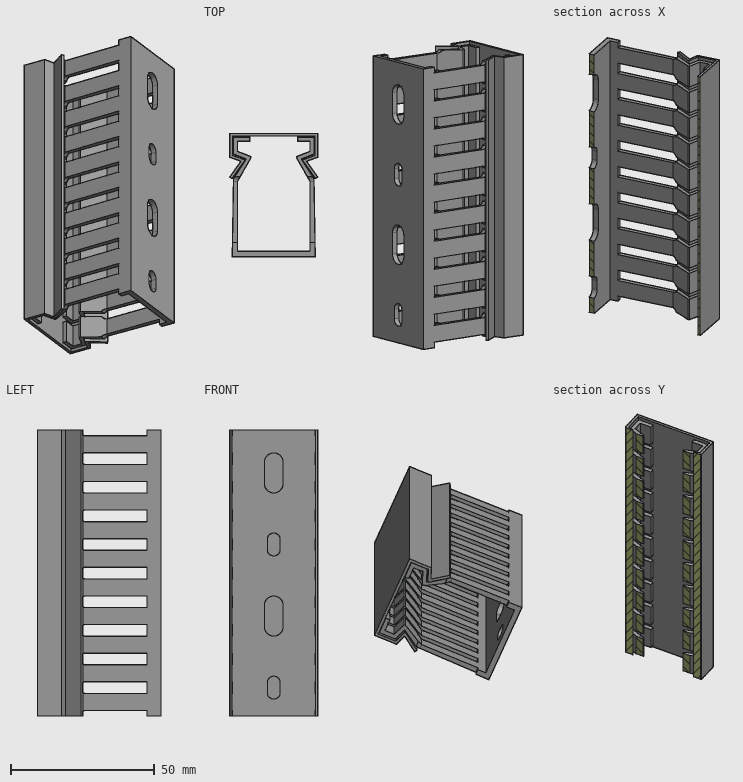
import cadquery as cq
import math

length = 100.0

cover_width = 30.8
cover_top = 43.2
cover_wall = 1.0
cover_side_end = 34.8
cover_waist_x, cover_waist_y = 11.5, 33.4
cover_tip_y = 27.9

trunk_width = 29.1
plate_thickness = 2.0
finger_wall = 1.5
cover_gap = 0.3
hook_end_x = 8.3

inner_bend_y, outer_bend_y = 26.5, 27.3
inner_waist_x = 8.0
inner_waist_low_y, inner_waist_high_y = 34.5, 35.1
outer_waist_x, outer_waist_y = 9.7, 34.2
inner_shoulder_y, outer_shoulder_y = 36.9, 35.9

slot_pitch = 10.0
slot_width = 4.0
slot_floor = 5.0
slot_round_centre = 26.4
slit_width = 2.0

large_hole_width, large_hole_length = 6.5, 14.0
small_hole_width, small_hole_length = 4.5, 8.0
hole_pitch = 50.0
large_hole_start = 35.0
small_hole_start = 10.0

cover_half_width = cover_width / 2
trunk_half_width = trunk_width / 2
finger_half_width = cover_half_width - cover_wall - cover_gap
cavity_half_width = finger_half_width - finger_wall
hook_top = cover_top - cover_wall - cover_gap
hook_underside = hook_top - finger_wall
slot_count = round(length / slot_pitch) + 1


def left_normal(start, end):
    """Unit normal on the left-hand side of the segment from start to end."""
    dx = end[0] - start[0]
    dy = end[1] - start[1]
    size = math.hypot(dx, dy)
    return -dy / size, dx / size


def offset_path(points, distance):
    """Open path moved to its left by distance, with mitred corners."""
    normals = [left_normal(a, b) for a, b in zip(points, points[1:])]
    before = normals[:1] + normals
    after = normals + normals[-1:]
    moved = []
    for (x, y), (ax, ay), (bx, by) in zip(points, before, after):
        mitre = distance / (1 + ax * bx + ay * by)
        moved.append((x + (ax + bx) * mitre, y + (ay + by) * mitre))
    return moved


def symmetric_path(right_half):
    """Right-hand path continued by its mirror image, walked back to the start."""
    return right_half + [(-x, y) for x, y in reversed(right_half)]


def extrude_section(outline):
    return cq.Workplane("XY").polyline(outline).close().extrude(length)


def make_cover():
    outside = symmetric_path([
        (cover_half_width, cover_tip_y),
        (cover_waist_x, cover_waist_y),
        (cover_half_width, cover_side_end),
        (cover_half_width, cover_top),
    ])
    inside = offset_path(outside, cover_wall)
    return extrude_section(outside + inside[::-1])


def make_trunk_blank():
    """Full-length trunk section; its side walls taper from the plate to the finger bend."""
    wall_outside = [
        (trunk_half_width, 0),
        (finger_half_width, outer_bend_y),
        (outer_waist_x, outer_waist_y),
        (finger_half_width, outer_shoulder_y),
        (finger_half_width, hook_top),
        (hook_end_x, hook_top),
    ]
    wall_inside = [
        (hook_end_x, hook_underside),
        (cavity_half_width, hook_underside),
        (cavity_half_width, inner_shoulder_y),
        (inner_waist_x, inner_waist_high_y),
        (inner_waist_x, inner_waist_low_y),
        (cavity_half_width, inner_bend_y),
        (cavity_half_width, plate_thickness),
    ]
    return extrude_section(symmetric_path(wall_outside + wall_inside))


def make_slot_cutter(z):
    """Slot between two fingers with a fully round end, and the slit between their heads."""
    half_slot = slot_width / 2
    slot = (
        cq.Workplane("YZ")
        .moveTo(slot_floor, -half_slot)
        .lineTo(slot_round_centre, -half_slot)
        .threePointArc((slot_round_centre + half_slot, 0), (slot_round_centre, half_slot))
        .lineTo(slot_floor, half_slot)
        .close()
        .extrude(trunk_half_width, both=True)
    )
    slit = (
        cq.Workplane("XY")
        .box(trunk_width, cover_top - slot_floor, slit_width, centered=(True, False, True))
        .translate((0, slot_floor, 0))
    )
    return slot.union(slit).translate((0, 0, z))


def make_mounting_holes(width, hole_length, first_z):
    centres = [(0, first_z), (0, first_z + hole_pitch)]
    return (
        cq.Workplane("XZ")
        .pushPoints(centres)
        .slot2D(hole_length, width, 90)
        .extrude(-plate_thickness)
    )


def make_trunk():
    trunk = make_trunk_blank()
    for index in range(slot_count):
        trunk = trunk.cut(make_slot_cutter(index * slot_pitch))
    trunk = trunk.cut(make_mounting_holes(large_hole_width, large_hole_length, large_hole_start))
    return trunk.cut(make_mounting_holes(small_hole_width, small_hole_length, small_hole_start))


cover = make_cover()
trunk = make_trunk()

result = cq.Compound.makeCompound([cover.val(), *trunk.solids().vals()])